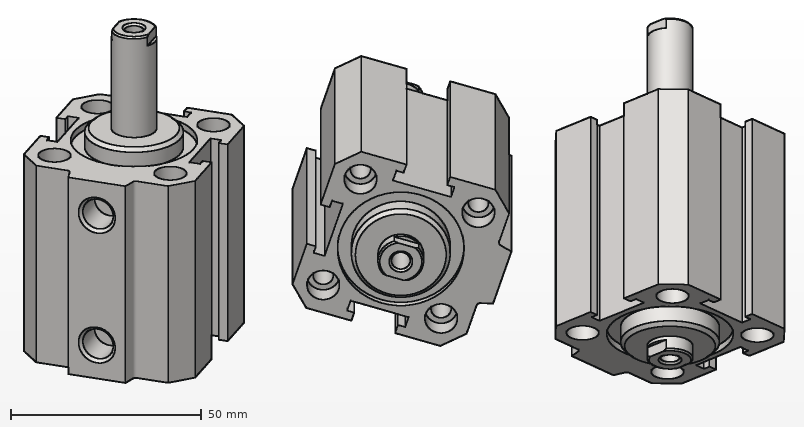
import cadquery as cq
import math


BODY_WIDTH = 48.0
BODY_HEIGHT = 56.9
CORNER_CHAMFER = 5.5
HALF_WIDTH = BODY_WIDTH / 2

SLOT_MOUTH = 12.0
SLOT_WIDTH = 16.0
SLOT_LIP = 2.5
SLOT_DEPTH = 5.5
SLOT_SIDE_ANGLES = (0, 90, 180)

RIDGE_HEIGHT = 4.0
RIDGE_FACE_WIDTH = SLOT_WIDTH
RIDGE_FLANK_ANGLE = 15.0
RIDGE_ROOT_RADIUS = 1.0

PORT_DIAMETER = 8.5
PORT_CHAMFER = 0.9
PORT_DEPTH = 9.7
PORT_END_DISTANCE = 9.7

MOUNT_SPACING = 32.5
MOUNT_DIAMETER = 5.3
COUNTERBORE_DIAMETER = 8.5
COUNTERBORE_DEPTH = 5.8

RECESS_DIAMETER = 33.3
RECESS_DEPTH = 1.9
COLLAR_DIAMETER = 26.0
COLLAR_HEIGHT = 3.5
COLLAR_CHAMFER = 1.1

ROD_DIAMETER = 12.0
ROD_LENGTH = 97.0
ROD_BOTTOM = -7.6
ROD_TOP = ROD_BOTTOM + ROD_LENGTH
ROD_END_CHAMFER = 0.5
FLAT_SPACING = 10.0
FLAT_LENGTH = 3.0
ROD_HOLE_DIAMETER = 4.9
ROD_HOLE_CHAMFER = 0.6
ROD_HOLE_DEPTH = 12.0


def cylinder(diameter, z_low, z_high):
    """Upright cylinder on the rod axis between two heights."""
    return cq.Workplane("XY", origin=(0, 0, z_low)).circle(diameter / 2).extrude(z_high - z_low)


def chamfered_hole(plane, diameter, depth, chamfer):
    """Cutter for a blind hole from the plane's origin along its local Y, with a chamfered mouth."""
    radius = diameter / 2
    profile = [
        (0, 0),
        (radius + chamfer, 0),
        (radius, chamfer),
        (radius, depth),
        (0, depth),
    ]
    return cq.Workplane(plane).polyline(profile).close().revolve(360, (0, 0), (0, 1))


def t_slot(side_angle):
    """Full-height T-slot cutter for the +X side, turned about Z to the given side."""
    floor_x = HALF_WIDTH - SLOT_DEPTH
    lip_x = HALF_WIDTH - SLOT_LIP
    mid_z = BODY_HEIGHT / 2
    mouth = cq.Workplane("XY").box(SLOT_DEPTH, SLOT_MOUTH, BODY_HEIGHT)
    mouth = mouth.translate((floor_x + SLOT_DEPTH / 2, 0, mid_z))
    undercut = cq.Workplane("XY").box(lip_x - floor_x, SLOT_WIDTH, BODY_HEIGHT)
    undercut = undercut.translate(((floor_x + lip_x) / 2, 0, mid_z))
    return mouth.union(undercut).rotate((0, 0, 0), (0, 0, 1), side_angle)


def port_ridge():
    """Ridge with sloping flanks that blend into the -Y side through concave root arcs."""
    flank = math.radians(RIDGE_FLANK_ANGLE)
    face_x = RIDGE_FACE_WIDTH / 2
    face_y = -HALF_WIDTH - RIDGE_HEIGHT
    corner_x = face_x + RIDGE_HEIGHT * math.tan(flank)
    turn = math.pi / 2 - flank
    outer_x = corner_x + RIDGE_ROOT_RADIUS * math.tan(turn / 2)

    center_y = -HALF_WIDTH - RIDGE_ROOT_RADIUS
    mid_x = outer_x - RIDGE_ROOT_RADIUS * math.sin(turn / 2)
    mid_y = center_y + RIDGE_ROOT_RADIUS * math.cos(turn / 2)
    flank_x = outer_x - RIDGE_ROOT_RADIUS * math.sin(turn)
    flank_y = center_y + RIDGE_ROOT_RADIUS * math.cos(turn)

    return (
        cq.Workplane("XY")
        .moveTo(-outer_x, 0)
        .lineTo(-outer_x, -HALF_WIDTH)
        .threePointArc((-mid_x, mid_y), (-flank_x, flank_y))
        .lineTo(-face_x, face_y)
        .lineTo(face_x, face_y)
        .lineTo(flank_x, flank_y)
        .threePointArc((mid_x, mid_y), (outer_x, -HALF_WIDTH))
        .lineTo(outer_x, 0)
        .close()
        .extrude(BODY_HEIGHT)
    )


def port(height):
    """Cutter for one air port entering the ridge face along +Y."""
    mouth = (0, -HALF_WIDTH - RIDGE_HEIGHT, height)
    plane = cq.Plane(origin=mouth, xDir=(1, 0, 0), normal=(0, 0, 1))
    return chamfered_hole(plane, PORT_DIAMETER, PORT_DEPTH, PORT_CHAMFER)


def mounting_holes():
    """Cutter for the four corner holes with a counterbore at each end."""
    corners = cq.Workplane("XY").rect(MOUNT_SPACING, MOUNT_SPACING, forConstruction=True).vertices()
    through = corners.circle(MOUNT_DIAMETER / 2).extrude(BODY_HEIGHT)
    lower = corners.circle(COUNTERBORE_DIAMETER / 2).extrude(COUNTERBORE_DEPTH)
    upper = lower.translate((0, 0, BODY_HEIGHT - COUNTERBORE_DEPTH))
    return through.union(lower).union(upper)


def make_housing():
    body = cq.Workplane("XY").rect(BODY_WIDTH, BODY_WIDTH).extrude(BODY_HEIGHT)
    body = body.edges("|Z").chamfer(CORNER_CHAMFER)
    for side_angle in SLOT_SIDE_ANGLES:
        body = body.cut(t_slot(side_angle))
    body = body.union(port_ridge())
    for height in (PORT_END_DISTANCE, BODY_HEIGHT - PORT_END_DISTANCE):
        body = body.cut(port(height))
    body = body.cut(mounting_holes())

    body = body.cut(cylinder(RECESS_DIAMETER, 0, RECESS_DEPTH))
    body = body.cut(cylinder(RECESS_DIAMETER, BODY_HEIGHT - RECESS_DEPTH, BODY_HEIGHT))
    collar = cylinder(COLLAR_DIAMETER, -COLLAR_HEIGHT, BODY_HEIGHT + COLLAR_HEIGHT)
    collar = collar.faces("<Z or >Z").chamfer(COLLAR_CHAMFER)
    body = body.union(collar)

    return body.cut(cylinder(ROD_DIAMETER, -COLLAR_HEIGHT, BODY_HEIGHT + COLLAR_HEIGHT))


def flat_cutter(z_low, z_high):
    """Cutter that leaves two parallel wrench flats facing -X and +X."""
    outside = cylinder(2 * ROD_DIAMETER, z_low, z_high)
    kept = cq.Workplane("XY", origin=(0, 0, z_low)).rect(FLAT_SPACING, 2 * ROD_DIAMETER)
    return outside.cut(kept.extrude(z_high - z_low))


def make_rod():
    rod = cylinder(ROD_DIAMETER, ROD_BOTTOM, ROD_TOP)
    rod = rod.faces("<Z or >Z").chamfer(ROD_END_CHAMFER)
    rod = rod.cut(flat_cutter(ROD_TOP - FLAT_LENGTH, ROD_TOP))
    rod = rod.cut(flat_cutter(ROD_BOTTOM, ROD_BOTTOM + FLAT_LENGTH))

    upper_end = cq.Plane(origin=(0, 0, ROD_TOP), xDir=(1, 0, 0), normal=(0, 1, 0))
    lower_end = cq.Plane(origin=(0, 0, ROD_BOTTOM), xDir=(1, 0, 0), normal=(0, -1, 0))
    for end in (upper_end, lower_end):
        rod = rod.cut(chamfered_hole(end, ROD_HOLE_DIAMETER, ROD_HOLE_DEPTH, ROD_HOLE_CHAMFER))
    return rod


housing = make_housing()
rod = make_rod()
result = cq.Compound.makeCompound([housing.solids().val(), rod.solids().val()])